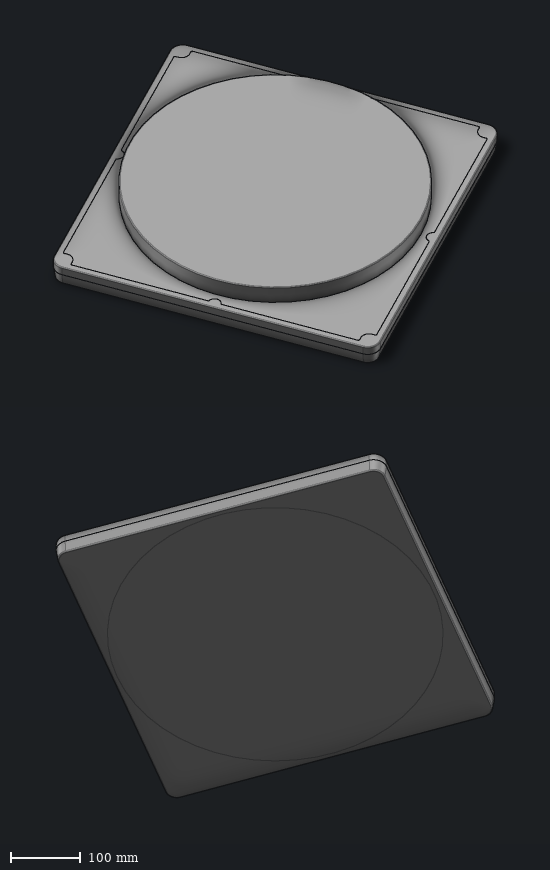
import cadquery as cq
import math

side = 501.5
corner_radius = 19.5
base_bottom_z = 1.5
base_top_z = 21.5
frame_top_z = 35.5
disc_top_z = 64.5

base_draft = 8.0
base_edge_fillet = 2.0

crown_radius = 240.5

frame_edge_fillet = 1.5
frame_width = 10.0
corner_notch_depth = 19.0
corner_notch_fillet = 12.5
side_notch_radius = 9.5
side_notch_offset = 1.5
notch_mouth_fillet = 2.0

disc_radius = 224.0
disc_edge_fillet = 1.5

frame_height = frame_top_z - base_top_z
panel_side = side - 2 * frame_width


def at_height(z):
    """Horizontal workplane at the given height."""
    return cq.Workplane("XY", origin=(0, 0, z))


def rounded_square():
    """Square outline of the part with rounded corners."""
    return cq.Sketch().rect(side, side).vertices().fillet(corner_radius)


def make_crown():
    """Spherical cap that bulges down from the flat underside of the base."""
    sphere_radius = (crown_radius**2 + base_bottom_z**2) / (2 * base_bottom_z)
    middle = crown_radius / 2
    middle_z = sphere_radius - math.sqrt(sphere_radius**2 - middle**2)
    return (
        cq.Workplane("XZ")
        .moveTo(0, base_bottom_z)
        .lineTo(crown_radius, base_bottom_z)
        .threePointArc((middle, middle_z), (0, 0))
        .close()
        .revolve(360, (0, 0, 0), (0, 1, 0))
    )


def make_base():
    """Tapered square base with a rounded lower edge and a crowned underside."""
    tray = at_height(base_top_z).placeSketch(rounded_square())
    tray = tray.extrude(base_bottom_z - base_top_z, taper=base_draft)
    tray = tray.faces("<Z").edges().fillet(base_edge_fillet)
    return tray.union(make_crown())


def corner_notches():
    """Cutters centred on the panel's corners, with rounded vertical edges."""
    return (
        at_height(base_top_z)
        .rect(panel_side, panel_side, forConstruction=True)
        .vertices()
        .rect(2 * corner_notch_depth, 2 * corner_notch_depth)
        .extrude(frame_height)
        .edges("|Z")
        .fillet(corner_notch_fillet)
    )


def side_notches():
    """Round cutters at the middle of the panel's four sides."""
    centre_distance = panel_side / 2 + side_notch_offset
    return (
        at_height(base_top_z)
        .polarArray(centre_distance, 0, 360, 4)
        .circle(side_notch_radius)
        .extrude(frame_height)
    )


def make_panel():
    """Square panel with rounded notches at its corners and mid-sides."""
    panel = at_height(base_top_z).rect(panel_side, panel_side).extrude(frame_height)
    panel = panel.cut(corner_notches()).cut(side_notches())
    notch_mouths = panel.edges("|Z and (>X or <X or >Y or <Y)")
    return notch_mouths.fillet(notch_mouth_fillet)


def make_frame(panel):
    """Square frame with a rounded top edge, open where the panel fits."""
    frame = at_height(base_top_z).placeSketch(rounded_square()).extrude(frame_height)
    frame = frame.faces(">Z").edges().fillet(frame_edge_fillet)
    return frame.cut(panel)


def make_disc():
    """Round disc with a rounded top edge, standing on the panel."""
    disc = at_height(frame_top_z).circle(disc_radius).extrude(disc_top_z - frame_top_z)
    return disc.faces(">Z").edges().fillet(disc_edge_fillet)


base = make_base()
panel = make_panel()
frame = make_frame(panel)
disc = make_disc()

result = cq.Compound.makeCompound([base.val(), frame.val(), panel.val(), disc.val()])